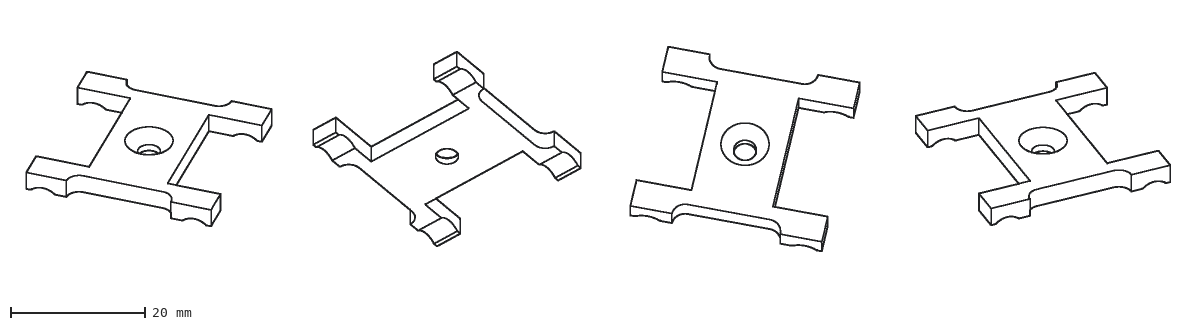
import cadquery as cq

length = 29.2
width = 27.75
thickness = 3.0

web_width = 12.47
arm_step = 0.12
long_arm_inner_y = 9.5
short_arm_inner_y = 9.25

recess_floor_y = 11.77
recess_radius = 2.01
recess_width = web_width + 2 * recess_radius

hole_diameter = 3.4
countersink_diameter = 7.18
countersink_angle = 90.0

groove_x = 11.97
groove_width = 3.77
groove_depth = 0.75
groove_radius = ((groove_width / 2) ** 2 + groove_depth ** 2) / (2 * groove_depth)


def arm(side_x, side_y, inner_y, outer_y):
    """Rectangular arm from the centre line out to one corner of the plate."""
    return (
        cq.Workplane("XY")
        .center(side_x * length / 4, side_y * (inner_y + outer_y) / 2)
        .rect(length / 2, outer_y - inner_y)
        .extrude(thickness)
    )


def end_recess(side_y):
    """Recess with rounded inner corners, open at one Y end of the plate."""
    depth = width / 2
    return (
        cq.Workplane("XY")
        .center(0, side_y * (recess_floor_y + depth / 2))
        .rect(recess_width, depth)
        .extrude(thickness)
        .edges("|Z")
        .fillet(recess_radius)
    )


def groove(side_x):
    """Cylinder along Y whose top cuts into the underside of the arms."""
    return (
        cq.Workplane("XZ")
        .center(side_x * groove_x, groove_depth - groove_radius)
        .circle(groove_radius)
        .extrude(width / 2, both=True)
    )


result = cq.Workplane("XY").rect(web_width, 2 * recess_floor_y).extrude(thickness)

for side_x in (-1, 1):
    for side_y in (-1, 1):
        if side_x * side_y < 0:
            result = result.union(arm(side_x, side_y, long_arm_inner_y, width / 2))
        else:
            result = result.union(arm(side_x, side_y, short_arm_inner_y, width / 2 - arm_step))

for side in (-1, 1):
    result = result.cut(end_recess(side))
    result = result.cut(groove(side))

result = (
    result.faces(">Z")
    .workplane(origin=(0, 0, thickness))
    .cskHole(hole_diameter, countersink_diameter, countersink_angle)
)